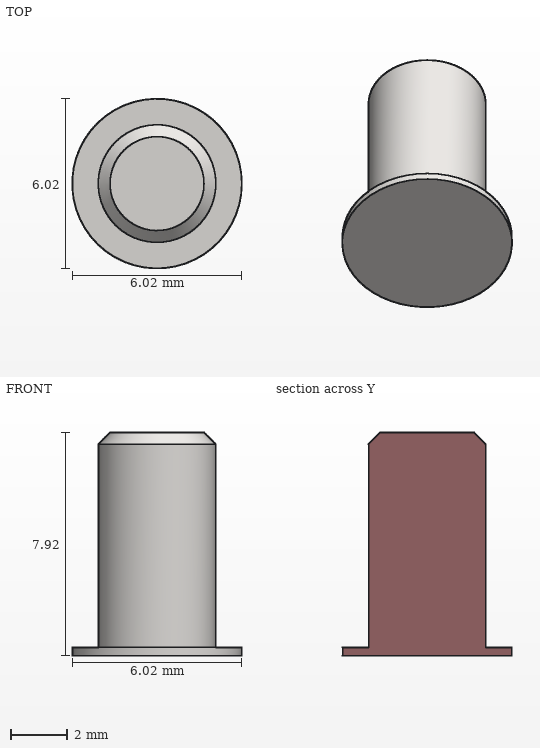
import cadquery as cq

flange_diameter = 6.02
flange_thickness = 0.3
pin_diameter = 4.17
overall_height = 7.92
tip_chamfer = 0.42


def make_flange():
    """Thin round flange at the base, centred on the Z axis."""
    return cq.Workplane("XY").circle(flange_diameter / 2).extrude(flange_thickness)


def make_pin():
    """Round pin running the full height, chamfered at its top edge."""
    pin = cq.Workplane("XY").circle(pin_diameter / 2).extrude(overall_height)
    return pin.faces(">Z").edges().chamfer(tip_chamfer)


result = make_flange().union(make_pin())